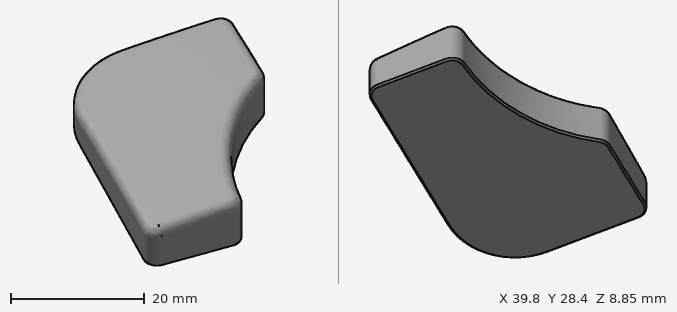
import cadquery as cq
import math

LENGTH = 39.8
WIDTH = 28.4
HEIGHT = 8.85

CORNER_RADIUS = 4.25 / 2
LARGE_CORNER_RADIUS = 11.125
SCOOP_CENTER_X = 39.4
SCOOP_CENTER_Y = 44.45
SCOOP_RADIUS = 28.9

CREST_SLOPE_DEG = 4.5
CROWN_RADIUS = 265.0

TOP_FILLET = 1.5
BOTTOM_CHAMFER = 0.3

BLOCK_HEIGHT = 2 * HEIGHT
OVERLAP = 2.0


def scoop_cylinder():
    """Vertical cylinder that cuts the concave side."""
    return (
        cq.Workplane("XY")
        .center(SCOOP_CENTER_X, SCOOP_CENTER_Y)
        .circle(SCOOP_RADIUS)
        .extrude(BLOCK_HEIGHT)
    )


def outline_block():
    """Over-tall block with the plan outline and its rounded corners."""
    block = cq.Workplane("XY").box(LENGTH, WIDTH, BLOCK_HEIGHT, centered=False)
    block = block.cut(scoop_cylinder())
    large_corner = cq.selectors.NearestToPointSelector((0, 0, HEIGHT))
    small_corners = cq.StringSyntaxSelector("|Z") - large_corner
    block = block.edges(small_corners).fillet(CORNER_RADIUS)
    return block.edges(large_corner).fillet(LARGE_CORNER_RADIUS)


def crown_height(distance):
    """Height of the crowned top at a given distance from the scoop axis."""
    slope = math.radians(CREST_SLOPE_DEG)
    offset_radius = CROWN_RADIUS - TOP_FILLET
    arc_center_distance = SCOOP_RADIUS + TOP_FILLET - offset_radius * math.sin(slope)
    arc_center_z = HEIGHT - TOP_FILLET - offset_radius * math.cos(slope)
    return arc_center_z + math.sqrt(CROWN_RADIUS**2 - (distance - arc_center_distance) ** 2)


def crowned_ring():
    """Ring revolved about the scoop axis whose top is the crowned face."""
    inner = SCOOP_RADIUS - OVERLAP
    outer = math.hypot(SCOOP_CENTER_X, SCOOP_CENTER_Y) + OVERLAP
    middle = (inner + outer) / 2
    return (
        cq.Workplane("XZ", origin=(SCOOP_CENTER_X, SCOOP_CENTER_Y, 0))
        .moveTo(inner, 0)
        .lineTo(outer, 0)
        .lineTo(outer, crown_height(outer))
        .threePointArc((middle, crown_height(middle)), (inner, crown_height(inner)))
        .close()
        .revolve(360, (0, 0, 0), (0, 1, 0))
    )


body = outline_block().intersect(crowned_ring())
body = body.faces(">Z").edges().fillet(TOP_FILLET)
result = body.faces("<Z").chamfer(BOTTOM_CHAMFER)